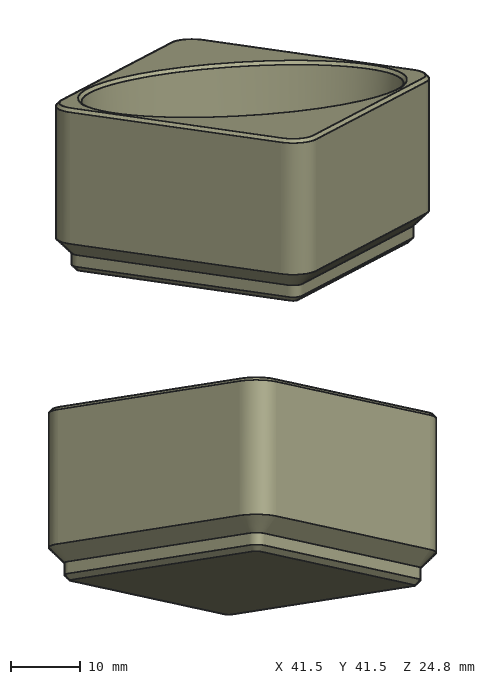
import cadquery as cq

width = 41.5
height = 24.8
corner_radius = 3.75
rim_chamfer = 0.5
foot_chamfer = 0.8
foot_wall = 1.75
foot_inset = 2.25
foot_height = foot_chamfer + foot_wall

pocket_long_radius = 23.8
pocket_short_radius = 13.2
pocket_draw_in = 1.58
floor_height = 8.0
pocket_angle = 45


def rounded_block(side, radius, bottom, top):
    """Upright square block with rounded vertical edges."""
    block = cq.Workplane("XY").workplane(offset=bottom).rect(side, side).extrude(top - bottom)
    return block.edges("|Z").fillet(radius)


def oval_frustum(bottom, top, bottom_offset, top_offset):
    """Lofted oval, each end offset from the pocket mouth."""
    return (
        cq.Workplane("XY")
        .workplane(offset=bottom)
        .ellipse(pocket_long_radius + bottom_offset, pocket_short_radius + bottom_offset)
        .workplane(offset=top - bottom)
        .ellipse(pocket_long_radius + top_offset, pocket_short_radius + top_offset)
        .loft(ruled=True)
        .rotate((0, 0, 0), (0, 0, 1), pocket_angle)
    )


body = rounded_block(width, corner_radius, foot_height, height)
body = body.faces(">Z").edges().chamfer(rim_chamfer)
body = body.faces("<Z").edges().chamfer(foot_inset)

foot = rounded_block(width - 2 * foot_inset, corner_radius - foot_inset, 0, foot_height)
foot = foot.faces("<Z").edges().chamfer(foot_chamfer)

mouth_height = height - rim_chamfer
pocket = oval_frustum(floor_height, mouth_height, -pocket_draw_in, 0)
mouth = oval_frustum(mouth_height, height, 0, rim_chamfer)

result = body.union(foot).cut(pocket).cut(mouth)